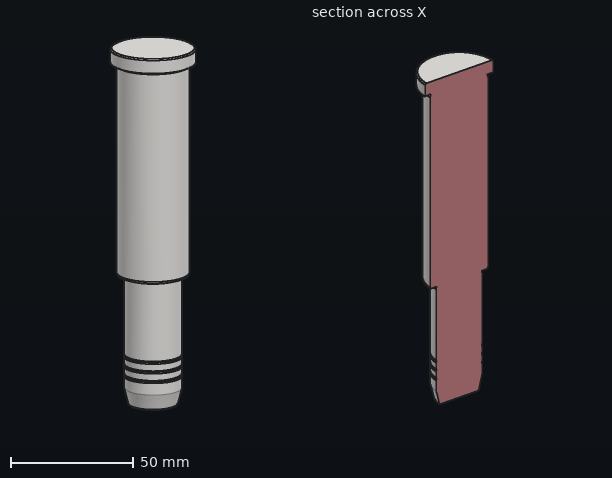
import cadquery as cq

total_length = 151.0
head_radius = 17.5
body_radius = 15.0
nose_radius = 12.0

head_thickness = 6.0
shoulder_height = 55.0
taper_height = 7.1

head_chamfer = 0.6
shoulder_chamfer_height = 0.9
shoulder_chamfer_depth = 0.5
tip_radius = 10.3
tip_chamfer = 0.5

relief_width = 0.9
relief_depth = 0.3
head_relief_land = 0.3
ring_count = 3
ring_pitch = 4.1
ring_width = 1.2
ring_depth = 0.3
lowest_ring_height = 12.5

head_bottom = total_length - head_thickness


def add_ring_groove(outline, center_height):
    """Continue the outline upward through one V groove in the nose."""
    half_width = ring_width / 2
    return (
        outline.lineTo(nose_radius, center_height - half_width)
        .lineTo(nose_radius - ring_depth, center_height)
        .lineTo(nose_radius, center_height + half_width)
    )


def add_relief(outline, radius, top):
    """Continue the outline upward through a sloped relief just below a face."""
    return outline.lineTo(radius, top - relief_width).lineTo(radius - relief_depth, top)


outline = (
    cq.Workplane("XZ")
    .moveTo(0, 0)
    .lineTo(tip_radius - tip_chamfer, 0)
    .lineTo(tip_radius, tip_chamfer)
    .lineTo(nose_radius, taper_height)
)
for ring in range(ring_count):
    outline = add_ring_groove(outline, lowest_ring_height + ring * ring_pitch)

outline = add_relief(outline, nose_radius, shoulder_height)
outline = (
    outline.lineTo(body_radius - shoulder_chamfer_depth, shoulder_height)
    .lineTo(body_radius, shoulder_height + shoulder_chamfer_height)
)

outline = add_relief(outline, body_radius, head_bottom - head_relief_land)
outline = (
    outline.lineTo(body_radius - relief_depth, head_bottom)
    .lineTo(head_radius, head_bottom)
    .lineTo(head_radius, total_length - head_chamfer)
    .lineTo(head_radius - head_chamfer, total_length)
    .lineTo(0, total_length)
    .close()
)

result = outline.revolve(360, (0, 0, 0), (0, 1, 0))